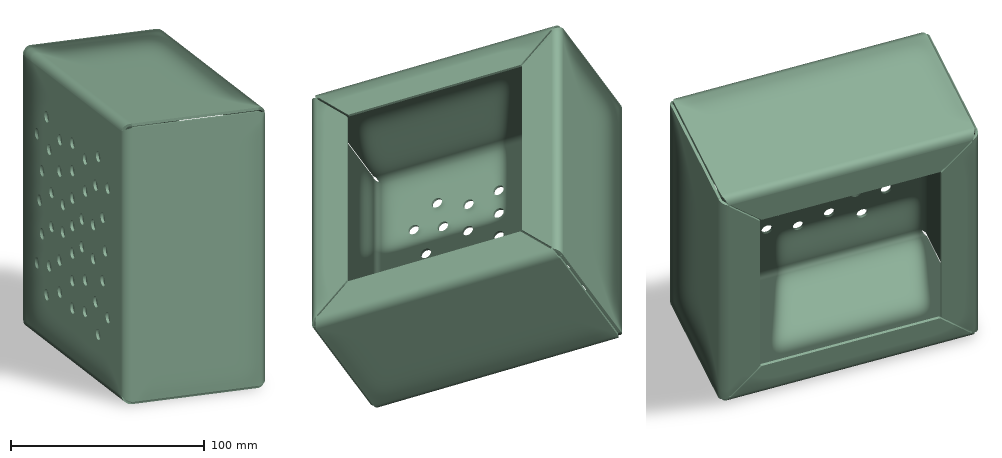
import cadquery as cq
import math

width = 143.0
depth = 80.0
height = 153.0

sheet = 1.5
inner_radius = 2 * sheet
outer_radius = inner_radius + sheet
corner_gap = 0.23
wall_setback = sheet + corner_gap
bend_overhang = 0.3
lip_depth = 21.5
lip_end_clearance = 0.8

hole_diameter = 6.0
ring_pitch = 15.0
full_ring_counts = [6, 10, 16]
corner_directions = [45, 135, 225, 315]
corner_hole_turn = 9

front = -depth / 2
back = depth / 2
flat_depth = depth - 2 * outer_radius


def bend_ring(half_length, reach):
    """Quarter tube joining the front panel to the wall whose outer face is at Z = reach."""
    bend_plane = cq.Plane(
        origin=(0, front + outer_radius, reach - outer_radius),
        xDir=(0, 0, 1),
        normal=(1, 0, 0),
    )
    outer_middle = outer_radius * math.sqrt(0.5)
    inner_middle = inner_radius * math.sqrt(0.5)
    return (
        cq.Workplane(bend_plane)
        .moveTo(0, inner_radius)
        .lineTo(0, outer_radius)
        .threePointArc((outer_middle, outer_middle), (outer_radius, 0))
        .lineTo(inner_radius, 0)
        .threePointArc((inner_middle, inner_middle), (0, inner_radius))
        .close()
        .extrude(half_length, both=True)
    )


def front_bend(span, reach):
    """Front bend of the upper wall, widening from the panel edge to the wall edge."""
    wall_half = span / 2 - wall_setback
    panel_half = span / 2 - outer_radius + bend_overhang
    rise = outer_radius * math.sqrt(2)
    diagonal_plane = cq.Plane(
        origin=(0, front, reach - outer_radius),
        xDir=(1, 0, 0),
        normal=(0, -1, 1),
    )
    taper = (
        cq.Workplane(diagonal_plane)
        .polyline([(-panel_half, 0), (panel_half, 0), (wall_half, rise), (-wall_half, rise)])
        .close()
        .extrude(outer_radius, both=True)
    )
    return bend_ring(wall_half, reach).intersect(taper)


def back_lip(span, reach):
    """Lip folded inwards at the back of the upper wall, with 45 degree ends."""
    top = reach - outer_radius
    bottom = reach - lip_depth
    top_half = span / 2 - outer_radius - lip_end_clearance
    bottom_half = top_half - (top - bottom)
    return (
        cq.Workplane("XZ", origin=(0, back, 0))
        .polyline([(-top_half, top), (top_half, top), (bottom_half, bottom), (-bottom_half, bottom)])
        .close()
        .extrude(sheet)
    )


def folded_wall(span, reach):
    """Upper wall of the given span with its front and back bends and its back lip."""
    wall = cq.Workplane("XY").box(span - 2 * wall_setback, flat_depth, sheet)
    wall = wall.translate((0, 0, reach - sheet / 2))
    bend = front_bend(span, reach)
    return wall.union(bend).union(bend.mirror("XZ")).union(back_lip(span, reach))


def ring_point(ring, degrees):
    """Hole position on a ring, as X and Z from the panel centre."""
    radius = ring * ring_pitch
    angle = math.radians(degrees)
    return (radius * math.cos(angle), radius * math.sin(angle))


def hole_centers():
    """Centre hole, evenly filled rings, and hole pairs towards the corners on the last ring."""
    centers = [(0, 0)]
    for ring, count in enumerate(full_ring_counts, start=1):
        centers += [ring_point(ring, 90 + 360 * index / count) for index in range(count)]
    last_ring = len(full_ring_counts) + 1
    for direction in corner_directions:
        for turn in (-corner_hole_turn, corner_hole_turn):
            centers.append(ring_point(last_ring, direction + turn))
    return centers


def front_panel():
    """Flat front panel with its round holes."""
    inner_face = cq.Workplane("XZ", origin=(0, front + sheet, 0))
    panel = inner_face.rect(width - 2 * outer_radius, height - 2 * outer_radius).extrude(sheet)
    holes = inner_face.pushPoints(hole_centers()).circle(hole_diameter / 2).extrude(sheet)
    return panel.cut(holes)


end_wall = folded_wall(width, height / 2)
side_wall = folded_wall(height, width / 2)

result = front_panel()
for wall, turn in ((end_wall, 0), (side_wall, 90), (end_wall, 180), (side_wall, 270)):
    result = result.union(wall.rotate((0, 0, 0), (0, 1, 0), turn))